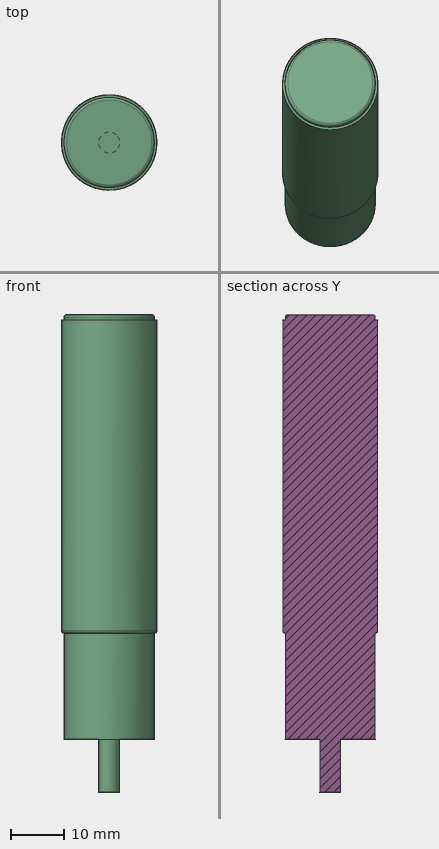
import cadquery as cq

total_height = 90.0
body_diameter = 18.0
sleeve_diameter = 17.0
cable_diameter = 4.0
cap_diameter = sleeve_diameter

cable_length = 10.0
sleeve_length = 20.0
cap_height = 1.0
body_length = total_height - cable_length - sleeve_length - cap_height

body_fillet = (body_diameter - sleeve_diameter) / 2
cap_fillet = cap_height / 2


def cylinder(diameter, length, base_z):
    """Upright cylinder centred on the Z axis, starting at base_z."""
    return cq.Workplane("XY").workplane(offset=base_z).circle(diameter / 2).extrude(length)


sleeve_base = cable_length
body_base = sleeve_base + sleeve_length
cap_base = body_base + body_length

cable = cylinder(cable_diameter, cable_length, 0)
sleeve = cylinder(sleeve_diameter, sleeve_length, sleeve_base)
body = cylinder(body_diameter, body_length, body_base).faces("<Z").edges().fillet(body_fillet)
cap = cylinder(cap_diameter, cap_height, cap_base).faces(">Z").edges().fillet(cap_fillet)

result = cable.union(sleeve).union(body).union(cap)